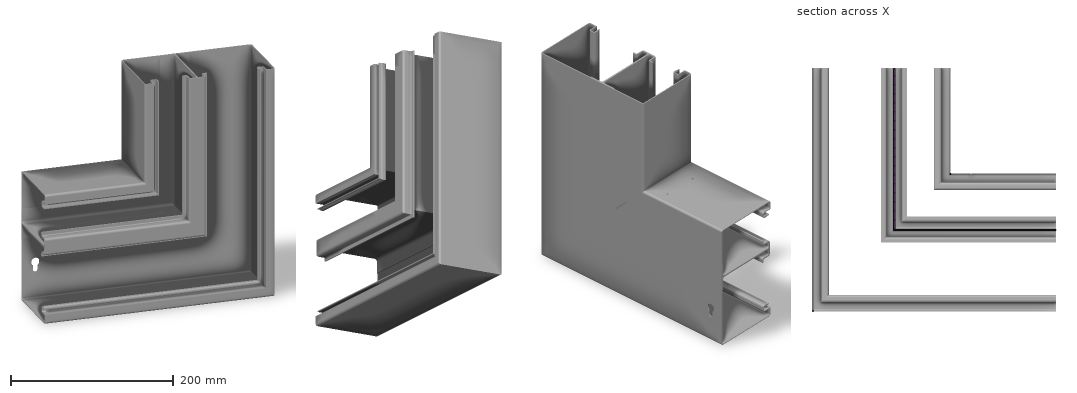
import cadquery as cq

LENGTH = 299.8
DEPTH = 90.0
WIDTH = 170.0
WALL = 1.2
CORNER_RADIUS = 3.0
BEND_RADIUS = 3.0

LEDGE_HEIGHT = 12.3
LIP_INNER_X = 76.8
LIP_TIP_X = 87.3
LIP_HEIGHT = 20.5
HOOK_STEP = 1.0
HOOK_SLOPE_START_X = 82.8
HOOK_SLOPE_END_X = 85.0

DIVIDER_Z = 100.7
PLATE_THICKNESS = 2.0
BASE_HALF_WIDTH = 19.2
BASE_TOP_X = 2.5
BASE_FILLET = 3.5
HEAD_OUTER_X = 88.8
HEAD_HALF_WIDTH = 11.0
HEAD_FILLET = 2.5
STALK_INNER_X = 75.5
LIP_THICKNESS = 1.8
STALK_HALF_WIDTH = 16.0

KEYHOLE_Y = 18.0
KEYHOLE_HEAD_Z = 48.3
KEYHOLE_HEAD_RADIUS = 5.5
KEYHOLE_SLOT_RADIUS = 3.0
KEYHOLE_SLOT_END_Z = 38.5
SCREW_HOLE_XS = (16.0, 61.8)
SCREW_HOLE_Y = 104.0
SCREW_HOLE_DIAMETER = 2.5

SEAM_RECESS_Z = 132.5
SEAM_RECESS_LENGTH = 25.5
SEAM_RECESS_WIDTH = 1.8
SEAM_RECESS_DEPTH = 0.5

POINT_MARGIN = 0.3


def section():
    """Sketch plane for a leg section: local x is X, local y is Z."""
    return cq.Workplane("XZ")


def along_leg(sketch):
    """Extrude a leg section from the open end at Y = 0 to the outer corner."""
    return sketch.extrude(-LENGTH)


def bar(x_start, x_end, z_start, z_end):
    """Rectangular bar along the whole horizontal leg."""
    middle = section().center((x_start + x_end) / 2, (z_start + z_end) / 2)
    return along_leg(middle.rect(x_end - x_start, z_end - z_start))


def mitred(leg):
    """Keep the part of a horizontal leg on its own side of the seam Y + Z = LENGTH."""
    corners = [(0, 0), (LENGTH, 0), (0, LENGTH)]
    leg_side = cq.Workplane("YZ").polyline(corners).close().extrude(DEPTH)
    return leg.intersect(leg_side)


def reflected(leg):
    """Reflect a horizontal leg in the seam plane, which makes it a vertical leg."""
    return leg.mirror(cq.Vector(0, 1, 1), (0, LENGTH, 0))


def mirrored_in_z(half, z_middle):
    """Add the mirror image of a section half about the height z_middle."""
    return half.union(half.mirror("XY", (0, 0, z_middle)))


def fillet_at(body, points, radius):
    """Round the lengthwise edges of a leg that pass through the given (x, z) points."""
    for x, z in points:
        low = (x - POINT_MARGIN, -POINT_MARGIN, z - POINT_MARGIN)
        high = (x + POINT_MARGIN, LENGTH + POINT_MARGIN, z + POINT_MARGIN)
        edge = cq.selectors.BoxSelector(low, high)
        body = body.edges("|Y").edges(edge).fillet(radius)
    return body


def lower_side():
    """Side flange and cover lip of the lower edge; the groove in the lip opens toward +X."""
    flange_x = DEPTH - WALL
    riser_x = LIP_INNER_X + WALL
    ledge_bottom = LEDGE_HEIGHT - WALL
    hook_top = LIP_HEIGHT - HOOK_STEP
    hook_bottom = hook_top - WALL
    outline = [
        (flange_x, CORNER_RADIUS),
        (flange_x, ledge_bottom),
        (LIP_INNER_X, ledge_bottom),
        (LIP_INNER_X, LIP_HEIGHT),
        (HOOK_SLOPE_START_X, LIP_HEIGHT),
        (HOOK_SLOPE_END_X, hook_top),
        (LIP_TIP_X, hook_top),
        (LIP_TIP_X, hook_bottom),
        (riser_x, hook_bottom),
        (riser_x, LEDGE_HEIGHT),
        (DEPTH, LEDGE_HEIGHT),
        (DEPTH, CORNER_RADIUS),
    ]
    side = along_leg(section().polyline(outline).close())
    outer_bends = [(LIP_INNER_X, ledge_bottom), (LIP_INNER_X, LIP_HEIGHT)]
    inner_bends = [(flange_x, ledge_bottom), (riser_x, LEDGE_HEIGHT)]
    side = fillet_at(side, outer_bends, BEND_RADIUS)
    return fillet_at(side, inner_bends, BEND_RADIUS - WALL)


def channel():
    """Plain trunking leg before it is mitred: a rounded tube, open on +X between two lips."""
    tube = bar(0, DEPTH, 0, WIDTH).edges("|Y").fillet(CORNER_RADIUS)
    cavity = bar(WALL, DEPTH - WALL, WALL, WIDTH - WALL).edges("|Y").fillet(CORNER_RADIUS - WALL)
    opening = bar(DEPTH - WALL, DEPTH, CORNER_RADIUS, WIDTH - CORNER_RADIUS)
    sides = mirrored_in_z(lower_side(), WIDTH / 2)
    return tube.cut(cavity).cut(opening).union(sides)


def keyhole():
    """Hanging hole through the closed side: a round head over a narrow slot."""
    slot_height = KEYHOLE_HEAD_Z - KEYHOLE_SLOT_END_Z
    plane = cq.Workplane("YZ")
    head = plane.center(KEYHOLE_Y, KEYHOLE_HEAD_Z).circle(KEYHOLE_HEAD_RADIUS).extrude(WALL)
    end = plane.center(KEYHOLE_Y, KEYHOLE_SLOT_END_Z).circle(KEYHOLE_SLOT_RADIUS).extrude(WALL)
    slot_middle = plane.center(KEYHOLE_Y, KEYHOLE_SLOT_END_Z + slot_height / 2)
    slot = slot_middle.rect(2 * KEYHOLE_SLOT_RADIUS, slot_height).extrude(WALL)
    return head.union(slot).union(end)


def screw_holes():
    """Small holes through the upper wall of the horizontal leg."""
    positions = [(x, SCREW_HOLE_Y) for x in SCREW_HOLE_XS]
    wall_underside = cq.Workplane("XY").workplane(offset=WIDTH - WALL)
    return wall_underside.pushPoints(positions).circle(SCREW_HOLE_DIAMETER / 2).extrude(WALL)


def seam_bar(x_start, x_end):
    """Narrow bar centred on the mitre seam, lying along it, between two depths."""
    plane = cq.Workplane("YZ").workplane(offset=x_start)
    seam = plane.center(LENGTH - SEAM_RECESS_Z, SEAM_RECESS_Z).transformed(rotate=(0, 0, -45))
    return seam.rect(SEAM_RECESS_LENGTH, SEAM_RECESS_WIDTH).extrude(x_end - x_start)


def upper_divider_lip():
    """Ledge and stalk above the plate, carried by one arm of the head."""
    head_inner_x = HEAD_OUTER_X - LIP_THICKNESS
    stalk_outer_x = STALK_INNER_X + LIP_THICKNESS
    ledge_top = DIVIDER_Z + HEAD_HALF_WIDTH
    ledge_bottom = ledge_top - LIP_THICKNESS
    stalk_top = DIVIDER_Z + STALK_HALF_WIDTH
    outline = [
        (HEAD_OUTER_X, DIVIDER_Z),
        (head_inner_x, DIVIDER_Z),
        (head_inner_x, ledge_bottom),
        (STALK_INNER_X, ledge_bottom),
        (STALK_INNER_X, stalk_top),
        (stalk_outer_x, stalk_top),
        (stalk_outer_x, ledge_top),
        (HEAD_OUTER_X, ledge_top),
    ]
    lip = along_leg(section().polyline(outline).close())
    outer_bends = [(STALK_INNER_X, ledge_bottom), (HEAD_OUTER_X, ledge_top)]
    inner_bends = [(stalk_outer_x, ledge_top), (head_inner_x, ledge_bottom)]
    lip = fillet_at(lip, outer_bends, BEND_RADIUS)
    return fillet_at(lip, inner_bends, BEND_RADIUS - LIP_THICKNESS)


def divider_profile():
    """Plate on a wide base, with a T-shaped head and a lip on either side of it."""
    head_inner_x = HEAD_OUTER_X - LIP_THICKNESS
    plate_faces = [DIVIDER_Z - PLATE_THICKNESS / 2, DIVIDER_Z + PLATE_THICKNESS / 2]
    plate = bar(WALL, head_inner_x + LIP_THICKNESS / 2, *plate_faces)
    base = bar(WALL, BASE_TOP_X, DIVIDER_Z - BASE_HALF_WIDTH, DIVIDER_Z + BASE_HALF_WIDTH)
    lips = mirrored_in_z(upper_divider_lip(), DIVIDER_Z)
    divider = plate.union(base).union(lips)
    divider = fillet_at(divider, [(BASE_TOP_X, z) for z in plate_faces], BASE_FILLET)
    return fillet_at(divider, [(head_inner_x, z) for z in plate_faces], HEAD_FILLET)


plain_leg = mitred(channel())
seam_slot = seam_bar(0, WALL)
recess_floor = seam_bar(SEAM_RECESS_DEPTH, WALL)
horizontal_housing = plain_leg.cut(keyhole()).cut(screw_holes()).cut(seam_slot).union(recess_floor)
vertical_housing = reflected(plain_leg).cut(seam_slot)

horizontal_divider = mitred(divider_profile())
vertical_divider = reflected(horizontal_divider)

result = cq.Compound.makeCompound([
    horizontal_housing.val(),
    vertical_housing.val(),
    horizontal_divider.val(),
    vertical_divider.val(),
])